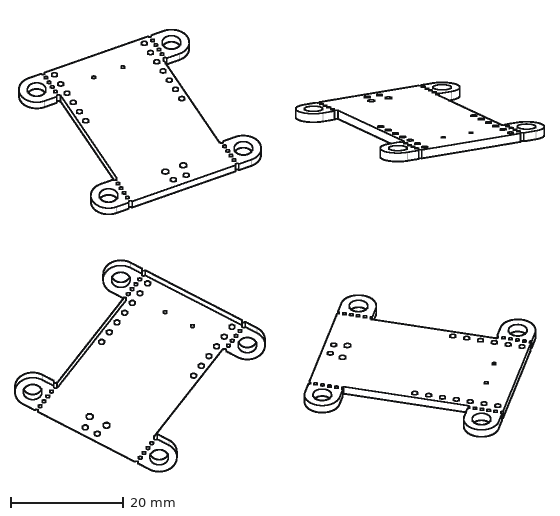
import cadquery as cq

board_length = 35.55
overall_width = 33.05
body_width = 20.3
thickness = 1.6

pin_diameter = 1.03
upper_pin_count = 7
lower_pin_count = 6
lower_row_span = 12.7
pin_pitch = lower_row_span / (lower_pin_count - 1)
first_pin_x = -16.5
pin_row_y = 8.9

breakaway_diameter = 0.65
breakaway_count = 6
breakaway_pitch = pin_pitch / 2
breakaway_span = breakaway_pitch * (breakaway_count - 1)
breakaway_y = 10.55

tab_width = breakaway_span
tab_radius = tab_width / 2
tab_x = board_length / 2 - tab_radius
tab_y = overall_width / 2 - tab_radius
mount_hole_diameter = 3.3

locating_diameter = 0.65
locating_x = -12.87
locating_y = 2.88
contact_x = 16.15
contact_y = pin_pitch / 2
peg_diameter = 1.2
peg_x = 13.73
peg_y = 1.78
peg_offset_y = 0.1


def mirrored_pair(x, y):
    return [(x, y), (x, -y)]


def row(start_x, y, pitch, count):
    return [(start_x + i * pitch, y) for i in range(count)]


def drill(board, points, diameter):
    cutters = cq.Workplane("XY").pushPoints(points).circle(diameter / 2).extrude(thickness)
    return board.cut(cutters)


def mounting_tab(x, y):
    root = cq.Workplane("XY").center(x, y / 2).rect(tab_width, abs(y)).extrude(thickness)
    end = cq.Workplane("XY").center(x, y).circle(tab_radius).extrude(thickness)
    return root.union(end)


tab_centers = mirrored_pair(-tab_x, tab_y) + mirrored_pair(tab_x, tab_y)
board = cq.Workplane("XY").rect(board_length, body_width).extrude(thickness)
for center_x, center_y in tab_centers:
    board = board.union(mounting_tab(center_x, center_y))

board = drill(board, tab_centers, mount_hole_diameter)

row_centers = mirrored_pair(-tab_x, breakaway_y) + mirrored_pair(tab_x, breakaway_y)
for center_x, center_y in row_centers:
    holes = row(center_x - tab_radius, center_y, breakaway_pitch, breakaway_count)
    board = drill(board, holes, breakaway_diameter)

board = drill(board, row(first_pin_x, pin_row_y, pin_pitch, upper_pin_count), pin_diameter)
board = drill(board, row(first_pin_x, -pin_row_y, pin_pitch, lower_pin_count), pin_diameter)

board = drill(board, mirrored_pair(locating_x, locating_y), locating_diameter)
board = drill(board, mirrored_pair(contact_x, contact_y), pin_diameter)
board = drill(board, [(peg_x, peg_offset_y + peg_y), (peg_x, peg_offset_y - peg_y)], peg_diameter)

result = board